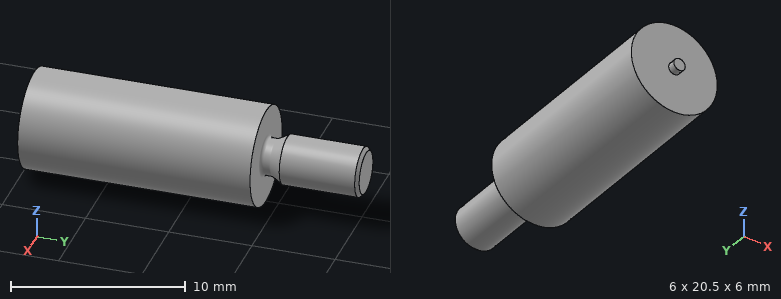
import cadquery as cq
import math

total_length = 20.5
pin_length = 0.51
stud_length = 6.0
body_rear = total_length - stud_length

body_diameter = 6.0
pin_diameter = 0.8
stud_diameter = 3.0
neck_diameter = 2.2

neck_fillet = 0.2
neck_length = 0.57
relief_angle = 30.0
stud_chamfer = 0.2

body_radius = body_diameter / 2
pin_radius = pin_diameter / 2
stud_radius = stud_diameter / 2
neck_radius = neck_diameter / 2

neck_rear = body_rear + neck_length
taper_length = (stud_radius - neck_radius) / math.tan(math.radians(relief_angle))
taper_rear = neck_rear + taper_length

arc_offset = neck_fillet * (1 - math.sqrt(0.5))
fillet_middle = (neck_radius + arc_offset, body_rear + arc_offset)

blend_start_y = neck_rear - neck_fillet * math.tan(math.radians(relief_angle / 2))


def blend_point(turn_angle):
    """Point on the blend arc after turning away from the neck by an angle in degrees."""
    turn = math.radians(turn_angle)
    return (
        neck_radius + neck_fillet * (1 - math.cos(turn)),
        blend_start_y + neck_fillet * math.sin(turn),
    )


half_profile = (
    cq.Workplane("XY")
    .moveTo(0, 0)
    .lineTo(pin_radius, 0)
    .lineTo(pin_radius, pin_length)
    .lineTo(body_radius, pin_length)
    .lineTo(body_radius, body_rear)
    .lineTo(neck_radius + neck_fillet, body_rear)
    .threePointArc(fillet_middle, (neck_radius, body_rear + neck_fillet))
    .lineTo(neck_radius, blend_start_y)
    .threePointArc(blend_point(relief_angle / 2), blend_point(relief_angle))
    .lineTo(stud_radius, taper_rear)
    .lineTo(stud_radius, total_length - stud_chamfer)
    .lineTo(stud_radius - stud_chamfer, total_length)
    .lineTo(0, total_length)
    .close()
)

result = half_profile.revolve(360, (0, 0, 0), (0, 1, 0))